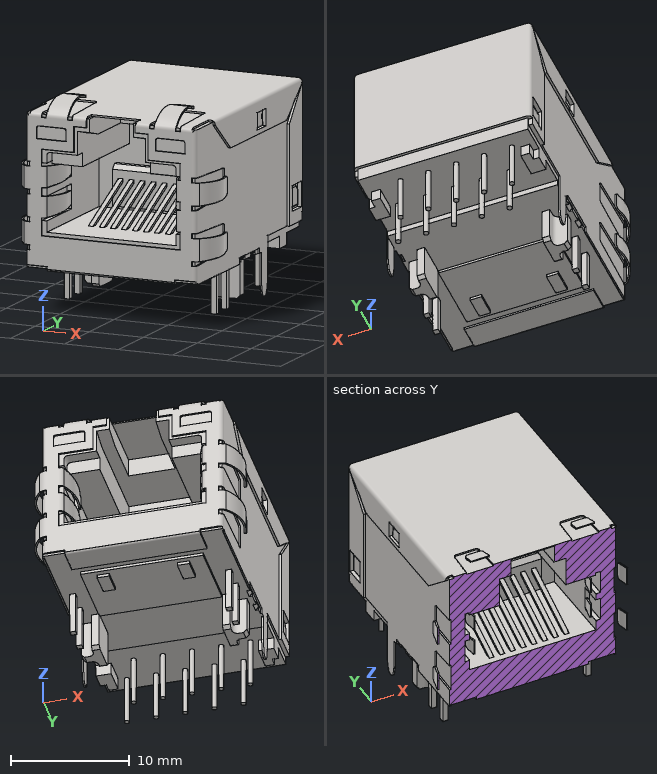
import cadquery as cq
import math


WIDTH = 18.15

SHEET = 0.15
ROLL = 0.4
DEPTH = 21.37
TOP = 17.4
FRONT_HALF = 7.9
REAR_HALF = 8.12
COVER_FRONT = 3.42
COVER_BOTTOM = 5.83
SIDE_BOTTOM = 3.83
SIDE_STEP = 5.1
LEG_FRONT, LEG_REAR = 13.2, 14.49
ROLL_BACK = DEPTH - ROLL
ROLL_TOP = TOP - ROLL

CORE_HALF = FRONT_HALF - SHEET
CORE_BACK = 21.13
CORE_BOTTOM = 3.91
REAR_BOTTOM = 4.47
REAR_FRONT = 14.68
LIP_HALF = 5.9

PEG_Y = 10.8
RELIEF_HALF = 2.0
RELIEF_TOP = 4.38

FLOOR = 7.07
SHOULDER = 14.0
CAVITY_HALF = 5.98
LATCH_HALF = 3.15
LATCH_TOP = 16.07
SLOT_HALF = 2.03
SLOT_DEPTH = 6.41
NOTCH_DEPTH = 1.11
LEAD_DEPTH = 1.92
MOUTH_HALF = 6.41
CAVITY_BACK = 10.68
CEILING = 15.58
SHOULDER_DEEP = 12.8
SHOULDER_DEPTH = 1.18

FINGER_LENGTH = 4.34
FINGER_THICK = 0.15
FINGER_START = 0.2
FINGER_PEAK = 2.65
FINGER_KNEE = 3.93
TOP_FINGER_X = 5.0
SIDE_FINGERS_Z = (11.67, 6.85)
TOP_LIFT = 1.11
SIDE_LIFT = WIDTH / 2 - FRONT_HALF
SIDE_ROOT_RISE = 0.21
OUTER_ROOT, OUTER_TIP = 1.0, 0.83
INNER_ROOT, INNER_TIP = 0.95, 0.62
INNER_LIFT = 0.58
INNER_FINGERS_Z = (11.84, 9.23)

PIN_COUNT = 10
PIN_SPAN = 11.43
PIN_PITCH = PIN_SPAN / (PIN_COUNT - 1)
PIN_DIAMETER = 0.45
PIN_ROWS_Y = (19.72, 17.18)
LAMP_PIN_X = 6.8
LAMP_PINS_Y = (8.3, 6.25)
ANCHOR_TOP = 6.0


def box(x0, x1, y0, y1, z0, z1):
    return cq.Workplane("XY").box(x1 - x0, y1 - y0, z1 - z0, centered=False).translate((x0, y0, z0))


def centred(half, y0, y1, z0, z1):
    return box(-half, half, y0, y1, z0, z1)


def yz_prism(points, x0, x1):
    return cq.Workplane("YZ").polyline(points).close().extrude(x1 - x0).translate((x0, 0, 0))


def xz_prism(points, y0, y1):
    return cq.Workplane("XZ").polyline(points).close().extrude(y0 - y1).translate((0, y0, 0))


def both_sides(part):
    return part.union(part.mirror("YZ"))


def front_shell():
    """Shell with rolled front edges, mitred at the two upper corners."""
    side_profile = centred(FRONT_HALF, 0, ROLL_BACK, SIDE_STEP, TOP)
    side_profile = side_profile.union(centred(FRONT_HALF, 0, LEG_FRONT, CORE_BOTTOM, SIDE_STEP))
    side_profile = side_profile.clean().edges("|X and <Y and >Z").fillet(ROLL)
    plan_profile = centred(FRONT_HALF, 0, DEPTH, 0, TOP).edges("|Z and <Y").fillet(ROLL)
    shell = side_profile.intersect(plan_profile)
    step = box(FRONT_HALF - ROLL, FRONT_HALF, 0, COVER_FRONT, TOP - SHEET, TOP)
    corner = box(FRONT_HALF - ROLL, FRONT_HALF, COVER_FRONT, ROLL_BACK, ROLL_TOP, TOP)
    return shell.cut(both_sides(step.union(corner)))


def rear_cover():
    cover = centred(REAR_HALF, COVER_FRONT, DEPTH, COVER_BOTTOM, TOP)
    cover = cover.edges("(|Y and >Z) or (|Z and >Y) or (>Y and >Z)").fillet(ROLL)
    side_gap = box(FRONT_HALF, REAR_HALF, COVER_FRONT, ROLL_BACK, 0, ROLL_TOP)
    return cover.cut(both_sides(side_gap))


def side_flaps():
    """Flat pads where the rear cover folds down over the side sheets."""
    flap_bottom = 14.38
    wing_front, wing_top = 18.38, 13.93
    upper = [(COVER_FRONT, ROLL_TOP), (ROLL_BACK, ROLL_TOP), (17.85, flap_bottom), (6.52, flap_bottom)]
    rear = [(ROLL_BACK, ROLL_TOP), (wing_front, wing_top), (wing_front, SIDE_STEP), (ROLL_BACK, SIDE_STEP)]
    flaps = yz_prism(upper, CORE_HALF, REAR_HALF).union(yz_prism(rear, CORE_HALF, REAR_HALF))
    return both_sides(flaps)


def side_skirt():
    """Lower edge of the side sheet with its board leg."""
    taper_top = 1.3
    tip_half, tip_corner = 0.43, 0.25
    leg_middle = (LEG_FRONT + LEG_REAR) / 2
    skirt = (
        cq.Workplane("YZ").moveTo(ROLL, SIDE_BOTTOM)
        .lineTo(PEG_Y - RELIEF_HALF, SIDE_BOTTOM).lineTo(PEG_Y - RELIEF_HALF, CORE_BOTTOM)
        .lineTo(LEG_FRONT, CORE_BOTTOM)
        .lineTo(LEG_FRONT, taper_top).lineTo(leg_middle - tip_half, tip_corner)
        .threePointArc((leg_middle, 0), (leg_middle + tip_half, tip_corner))
        .lineTo(LEG_REAR, taper_top).lineTo(LEG_REAR, SIDE_STEP)
        .lineTo(ROLL, SIDE_STEP).close().extrude(SHEET).translate((CORE_HALF, 0, 0))
    )
    return both_sides(skirt)


def housing():
    core = centred(CORE_HALF, SHEET, REAR_FRONT, CORE_BOTTOM, SIDE_STEP)
    rear = centred(CORE_HALF, LEG_FRONT, CORE_BACK, REAR_BOTTOM, ROLL_TOP)
    lip_back, lip_bottom, lip_radius = 2.35, 3.72, 0.25
    lip = centred(LIP_HALF, 0, lip_back, lip_bottom, FLOOR).faces("<Z").edges("<Y").fillet(lip_radius)
    plate_half, plate_front, plate_back, plate_bottom = 5.35, 3.1, 9.3, 3.65
    plate = centred(plate_half, plate_front, plate_back, plate_bottom, CORE_BOTTOM)
    return core.union(rear).union(lip).union(plate)


def bottom_reliefs():
    """Clearances in the lower edges of the front sheet and of the side sheets beside the pegs."""
    front_bottom = 4.12
    front_notch = box(LIP_HALF, FRONT_HALF, 0, SHEET, 0, front_bottom)
    side_notch = box(CORE_HALF, FRONT_HALF, PEG_Y - RELIEF_HALF, PEG_Y + RELIEF_HALF, 0, RELIEF_TOP)
    bevel_depth, bevel_top = 0.28, 4.2
    bevel_offset, bevel_half = 1.03, 0.4
    inset = CORE_HALF - bevel_depth
    bevel = [(CORE_HALF, bevel_top), (inset, CORE_BOTTOM), (CORE_HALF, CORE_BOTTOM)]
    notch = front_notch.union(side_notch)
    for y in (PEG_Y - bevel_offset, PEG_Y + bevel_offset):
        notch = notch.union(xz_prism(bevel, y - bevel_half, y + bevel_half))
    return both_sides(notch)


def under_feet():
    """Rear spacers and small front pads that stand on the board."""
    foot_bottom = 3.38
    spacer_inner, spacer_step = 6.41, 7.22
    spacer_front = 17.18
    spacer = box(spacer_step, CORE_HALF, spacer_front, 18.68, foot_bottom, REAR_BOTTOM)
    inner_spacer = box(spacer_inner, spacer_step, spacer_front, 19.45, foot_bottom, REAR_BOTTOM)
    pad = box(2.97, 4.02, 3.57, 5.6, foot_bottom, CORE_BOTTOM)
    return both_sides(spacer.union(inner_spacer).union(pad))


def stepped_outline(steps, bottom):
    """Symmetric stepped outline from (half width, top) pairs, widest first."""
    right = [(steps[0][0], bottom)]
    for index, (half, top) in enumerate(steps):
        right.append((half, top))
        if index + 1 < len(steps):
            right.append((steps[index + 1][0], top))
    return right + [(-x, z) for x, z in reversed(right)]


def plug_opening():
    notch_half = 2.27
    mouth_bottom = 6.75
    mouth_steps = [(MOUTH_HALF, 14.23), (3.45, 16.48), (notch_half, TOP)]
    shell_mouth = xz_prism(stepped_outline(mouth_steps, mouth_bottom), 0, SHEET)
    top_notch = centred(notch_half, 0, NOTCH_DEPTH, TOP - SHEET, TOP)
    cavity = xz_prism(
        stepped_outline([(CAVITY_HALF, SHOULDER_DEEP), (LATCH_HALF, CEILING)], FLOOR), SHEET, CAVITY_BACK
    )
    shoulder = centred(CAVITY_HALF, SHEET, SHOULDER_DEPTH, FLOOR, SHOULDER)
    shoulder = shoulder.edges("|Y and >Z").fillet(0.32)
    lead_profile = [(SHEET, FLOOR), (SHEET, LATCH_TOP), (LEAD_DEPTH, CEILING), (LEAD_DEPTH, FLOOR)]
    latch_lead = yz_prism(lead_profile, -LATCH_HALF, LATCH_HALF)
    latch_slot = centred(SLOT_HALF, SHEET, SLOT_DEPTH, FLOOR, TOP - SHEET)
    opening = shell_mouth.union(top_notch).union(cavity).union(shoulder).union(latch_lead).union(latch_slot)
    recess_back = 5.13
    for bottom, top in ((10.88, 13.04), (8.05, 10.2)):
        recess = box(CAVITY_HALF, MOUTH_HALF, SHEET, recess_back, bottom, top)
        opening = opening.union(both_sides(recess))
    return opening


def lamp_windows():
    window = box(4.15, 6.88, 0, SHEET, 15.1, 16.22).edges("|Y and >Z").fillet(0.21)
    return both_sides(window)


def latch_window():
    """Upper side window showing the wedge-shaped catch of the housing."""
    window = box(CORE_HALF, REAR_HALF, 11.9, 13.7, 14.79, 16.28)
    catch_bottom, catch_ridge, catch_top = 14.85, 15.32, 15.81
    ridge_x = CORE_HALF + 0.1
    profile = [
        (CORE_HALF, catch_top), (ridge_x, catch_ridge),
        (FRONT_HALF, catch_bottom), (CORE_HALF, catch_bottom),
    ]
    catch = xz_prism(profile, 12.07, 13.53)
    return both_sides(window.cut(catch))


def cover_window():
    """Lower rear side window with a rounded tab inside it."""
    window = box(CORE_HALF, REAR_HALF, 19.0, 20.84, 6.28, 8.5)
    tab = box(CORE_HALF, CORE_HALF + 0.13, 19.05, 20.73, 6.52, 8.27)
    tab = tab.edges("|X and >Y and >Z").fillet(0.65).faces(">X").edges(">Z or >Y").chamfer(0.1)
    return both_sides(window.cut(tab))


def finger_on_top(root_half, tip_half, lift, root_rise=0.0):
    """Finger bent back from the front sheet, arching above the plane Z = 0."""
    climb = ROLL + root_rise
    bend_radius = (FINGER_START**2 + climb**2) / (2 * FINGER_START)
    bend_angle = math.asin(climb / bend_radius)

    def bend_point(angle, radius):
        return (bend_radius - radius * math.cos(angle), radius * math.sin(angle) - ROLL)

    reach = FINGER_PEAK - FINGER_START
    rise = lift - root_rise
    outer_radius = (reach**2 + rise**2) / (2 * rise)
    inner_radius = outer_radius - FINGER_THICK

    def arc_point(y, radius):
        return (y, lift - outer_radius + math.sqrt(radius**2 - (y - FINGER_PEAK) ** 2))

    bend_inner = bend_radius - FINGER_THICK
    inner_start = bend_point(bend_angle, bend_inner)
    knee = arc_point(FINGER_KNEE, outer_radius)
    tip_height = knee[1] - 0.02
    overlap = -ROLL - 0.06
    band = (
        cq.Workplane("YZ").moveTo(0, overlap).lineTo(0, -ROLL)
        .threePointArc(bend_point(bend_angle / 2, bend_radius), bend_point(bend_angle, bend_radius))
        .threePointArc(arc_point(FINGER_PEAK, outer_radius), knee)
        .lineTo(FINGER_LENGTH, tip_height).lineTo(FINGER_LENGTH, tip_height - FINGER_THICK)
        .lineTo(*arc_point(FINGER_KNEE, inner_radius))
        .threePointArc(arc_point(FINGER_PEAK, inner_radius), arc_point(inner_start[0], inner_radius))
        .lineTo(*inner_start)
        .threePointArc(bend_point(bend_angle / 2, bend_inner), bend_point(0, bend_inner))
        .lineTo(FINGER_THICK, overlap).close()
        .extrude(root_half, both=True)
    )
    return band.intersect(tapered_prism(root_half, tip_half, FINGER_LENGTH, overlap, lift))


def tapered_prism(front_half, back_half, length, z0, z1):
    outline = [(-front_half, 0), (front_half, 0), (back_half, length), (-back_half, length)]
    prism = cq.Workplane("XY").polyline(outline).close().extrude(z1 - z0).translate((0, 0, z0))
    return prism.edges("|Z and >Y").fillet(0.28)


def finger_slot():
    """Clearance in the sheet around a finger."""
    front_half, back_half, length = 1.4, 1.15, 5.77
    slot = tapered_prism(front_half, back_half, length, -SHEET, 0)
    return slot.union(centred(front_half, 0, SHEET, -ROLL, 0))


def on_top(part):
    return both_sides(part.translate((TOP_FINGER_X, 0, TOP)))


def on_sides(part):
    turned = part.rotate((0, 0, 0), (0, 1, 0), 90).translate((FRONT_HALF, 0, 0))
    lower, upper = [turned.translate((0, 0, z)) for z in SIDE_FINGERS_Z]
    return both_sides(lower.union(upper))


def inner_fingers():
    """Fingers folded round the edge of the shell mouth into the cavity."""
    finger = finger_on_top(INNER_ROOT, INNER_TIP, INNER_LIFT).rotate((0, 0, 0), (0, 1, 0), -90)
    finger = finger.translate((MOUTH_HALF - ROLL, 0, 0))
    upper, lower = [finger.translate((0, 0, z)) for z in INNER_FINGERS_Z]
    return both_sides(upper.union(lower))


def contact_block():
    block_half, bottom, top = 4.34, 7.48, 11.05
    front = 9.83
    chamfer = 0.4
    profile = [
        (CAVITY_BACK, bottom), (front, bottom), (front, top - chamfer),
        (front + chamfer, top), (CAVITY_BACK, top),
    ]
    return yz_prism(profile, -block_half, block_half)


def contacts():
    count, span, width = 8, 7.14, 0.43
    pitch = span / (count - 1)
    start, end, top = 3.75, 9.94, 9.95
    thick = 0.25
    profile = [(start, FLOOR - thick), (start, FLOOR), (end, top), (end, top - thick)]
    blade = yz_prism(profile, -width / 2, width / 2)
    row = cq.Workplane("XY")
    for index in range(count):
        row = row.union(blade.translate(((index - (count - 1) / 2) * pitch, 0, 0)))
    return row


def signal_pins():
    pins = cq.Workplane("XY")
    for index in range(PIN_COUNT):
        x = (index - (PIN_COUNT - 1) / 2) * PIN_PITCH
        pin = cq.Workplane("XY").circle(PIN_DIAMETER / 2).extrude(REAR_BOTTOM + 0.21)
        pins = pins.union(pin.translate((x, PIN_ROWS_Y[index % 2], 0)))
    return pins


def lamp_pins():
    half = 0.25
    pins = cq.Workplane("XY")
    for y in LAMP_PINS_Y:
        pins = pins.union(box(LAMP_PIN_X - half, LAMP_PIN_X + half, y - half, y + half, 0, ANCHOR_TOP))
    return both_sides(pins)


def board_peg():
    """T-section peg with hollow corners and bevelled lower ends."""
    inner, web, tip = 5.36, 6.05, 7.22
    half_span, half_arm = 1.47, 0.4
    bevel = 0.3
    hollow = 0.47
    bottom = 0.43
    bar = box(inner, web, PEG_Y - half_span, PEG_Y + half_span, bottom, ANCHOR_TOP)
    bar = bar.faces("<Z").edges("|X").chamfer(bevel)
    arm = box(web, tip, PEG_Y - half_arm, PEG_Y + half_arm, bottom, ANCHOR_TOP)
    arm = arm.faces("<Z").edges(">X").chamfer(bevel)
    peg = bar.union(arm)
    for side in (-1, 1):
        corner = cq.Workplane("XY").rect(hollow, hollow).extrude(ANCHOR_TOP - bottom)
        y = PEG_Y + side * (half_arm + hollow / 2)
        corner = corner.translate((web + hollow / 2, y, bottom))
        bore = cq.Workplane("XY").circle(hollow).extrude(FLOOR)
        corner = corner.cut(bore.translate((web + hollow, PEG_Y + side * (half_arm + hollow), 0)))
        peg = peg.union(corner)
    return both_sides(peg)


result = front_shell().union(rear_cover()).union(side_flaps()).union(side_skirt()).union(housing())
result = result.cut(bottom_reliefs()).cut(plug_opening())
result = result.cut(lamp_windows()).cut(latch_window()).cut(cover_window())
slot = finger_slot()
result = result.cut(on_top(slot)).cut(on_sides(slot))
result = result.union(on_top(finger_on_top(OUTER_ROOT, OUTER_TIP, TOP_LIFT)))
result = result.union(on_sides(finger_on_top(OUTER_ROOT, OUTER_TIP, SIDE_LIFT, SIDE_ROOT_RISE)))
result = result.union(inner_fingers())
result = result.union(contact_block()).union(contacts())
result = result.union(under_feet()).union(signal_pins()).union(lamp_pins()).union(board_peg())